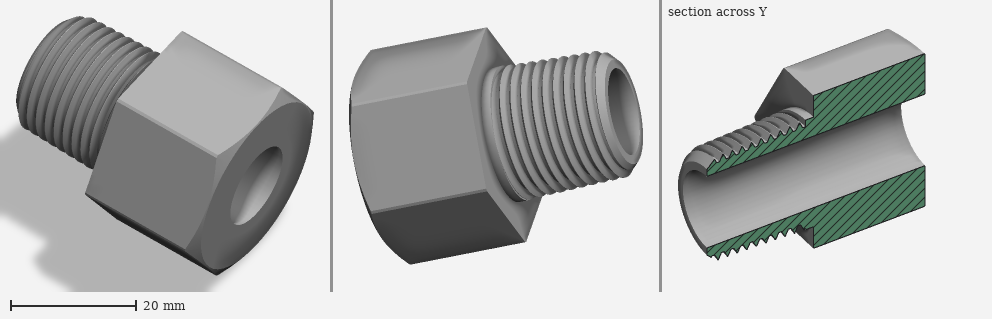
import cadquery as cq
import math

total_length = 41.3
across_flats = 30.5
across_corners = 34.9
hex_start = 20.15
collar_start = 18.65
collar_diameter = 21.95
bore_diameter = 14.15

hex_face_diameter = 30.07
hex_chamfer_angle = 30.0

pitch = 1.81
taper_slope = 1 / 32
tip_root_radius = 9.1
ridge_height = 1.25
ridge_base_width = 1.32
ridge_crest_width = 0.1
root_overlap = 0.12
tip_face_radius = 8.55
first_crest = 0.35
lead_in_turns = 1


def root_radius(x):
    return tip_root_radius + taper_slope * x


def revolve_about_x(points):
    return cq.Workplane("XY").polyline(points).close().revolve(360, (0, 0, 0), (1, 0, 0))


def make_hexagon():
    corner_to_corner = across_flats / math.cos(math.radians(30))
    length = total_length - hex_start
    prism = cq.Workplane("YZ", origin=(hex_start, 0, 0)).polygon(6, corner_to_corner).extrude(length)
    corner_radius = across_corners / 2
    face_radius = hex_face_diameter / 2
    chamfer_length = (corner_radius - face_radius) * math.tan(math.radians(hex_chamfer_angle))
    turned_blank = revolve_about_x([
        (hex_start, 0),
        (hex_start, corner_radius),
        (total_length - chamfer_length, corner_radius),
        (total_length, face_radius),
        (total_length, 0),
    ])
    return prism.intersect(turned_blank)


def make_collar():
    length = hex_start - collar_start
    return cq.Workplane("YZ", origin=(collar_start, 0, 0)).circle(collar_diameter / 2).extrude(length)


def make_core():
    chamfer_length = (tip_root_radius - tip_face_radius) / (1 - taper_slope)
    return revolve_about_x([
        (0, 0),
        (0, tip_face_radius),
        (chamfer_length, root_radius(chamfer_length)),
        (collar_start, root_radius(collar_start)),
        (collar_start, 0),
    ])


def make_ridge():
    """Helical ridge, trimmed by the tip chamfer and the collar face."""
    start = first_crest - lead_in_turns * pitch
    start_radius = root_radius(start)
    helix_length = collar_start + pitch - start
    taper_angle = math.degrees(math.atan(taper_slope))
    helix = cq.Wire.makeHelix(pitch, helix_length, start_radius, angle=taper_angle)
    half_base = ridge_base_width / 2
    half_crest = ridge_crest_width / 2
    inner = start_radius - root_overlap
    crest = start_radius + ridge_height
    ridge = (
        cq.Workplane("XZ")
        .polyline([
            (inner, -half_base),
            (start_radius, -half_base),
            (crest, -half_crest),
            (crest, half_crest),
            (start_radius, half_base),
            (inner, half_base),
        ])
        .close()
        .sweep(cq.Workplane(obj=helix), isFrenet=True)
        .rotate((0, 0, 0), (0, 1, 0), 90)
        .translate((start, 0, 0))
    )
    outer_radius = collar_diameter / 2
    envelope = revolve_about_x([
        (0, 0),
        (0, tip_face_radius),
        (outer_radius - tip_face_radius, outer_radius),
        (collar_start, outer_radius),
        (collar_start, 0),
    ])
    return ridge.intersect(envelope)


def make_bore():
    return cq.Workplane("YZ").circle(bore_diameter / 2).extrude(total_length)


body = make_hexagon().union(make_collar()).union(make_core()).union(make_ridge())
result = body.cut(make_bore())